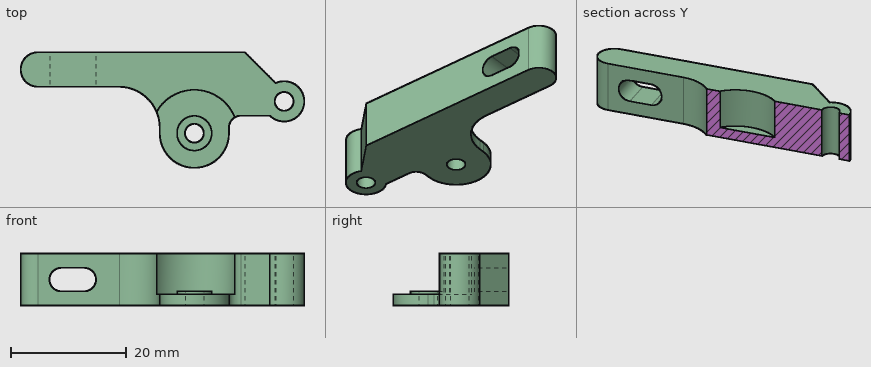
import cadquery as cq
import math

height = 9.0

pivot_radius = 6.0
bore_diameter = 3.2
flange_thickness = 2.0
recess_radius = 7.5
boss_diameter = 6.0
boss_height = 0.5

arm_width = 6.0
arm_end_x = -30.0
back_y = 14.0
arm_front_y = back_y - arm_width
arm_end_radius = arm_width / 2
arm_fillet_radius = 7.0

eye_x = 15.5
eye_y = 5.5
eye_radius = 3.5
neck_front_y = 3.0
neck_fillet_radius = 2.0
back_corner_x = 8.7

slot_length = 8.0
slot_height = 4.0
slot_center_x = -21.0


def point_on_circle(center_x, center_y, radius, angle):
    """Point on a circle at the given angle in degrees."""
    return (
        center_x + radius * math.cos(math.radians(angle)),
        center_y + radius * math.sin(math.radians(angle)),
    )


def lever_body():
    arm_fillet_x = -pivot_radius - arm_fillet_radius
    arm_fillet_y = arm_front_y - arm_fillet_radius
    neck_fillet_x = pivot_radius + neck_fillet_radius
    neck_fillet_y = neck_front_y - neck_fillet_radius
    slope_end_x = back_corner_x + back_y - eye_y

    body = (
        cq.Workplane("XY")
        .moveTo(arm_end_x + arm_end_radius, back_y)
        .threePointArc(
            (arm_end_x, back_y - arm_end_radius),
            (arm_end_x + arm_end_radius, arm_front_y),
        )
        .lineTo(arm_fillet_x, arm_front_y)
        .threePointArc(
            point_on_circle(arm_fillet_x, arm_fillet_y, arm_fillet_radius, 45),
            (-pivot_radius, arm_fillet_y),
        )
        .lineTo(-pivot_radius, 0)
        .threePointArc((0, -pivot_radius), (pivot_radius, 0))
        .lineTo(pivot_radius, neck_fillet_y)
        .threePointArc(
            point_on_circle(neck_fillet_x, neck_fillet_y, neck_fillet_radius, 135),
            (neck_fillet_x, neck_front_y),
        )
        .lineTo(eye_x, neck_front_y)
        .lineTo(eye_x, eye_y)
        .lineTo(slope_end_x, eye_y)
        .lineTo(back_corner_x, back_y)
        .close()
        .extrude(height)
    )
    eye = cq.Workplane("XY").center(eye_x, eye_y).circle(eye_radius).extrude(height)
    return body.union(eye)


def pivot_recess():
    return (
        cq.Workplane("XY", origin=(0, 0, flange_thickness))
        .circle(recess_radius)
        .extrude(height - flange_thickness)
    )


def pivot_boss():
    return cq.Workplane("XY").circle(boss_diameter / 2).extrude(flange_thickness + boss_height)


def bores():
    return (
        cq.Workplane("XY")
        .pushPoints([(0, 0), (eye_x, eye_y)])
        .circle(bore_diameter / 2)
        .extrude(height)
    )


def arm_slot():
    return (
        cq.Workplane("XZ", origin=(slot_center_x, back_y, height / 2))
        .slot2D(slot_length, slot_height)
        .extrude(arm_width)
    )


result = (
    lever_body()
    .cut(pivot_recess())
    .union(pivot_boss())
    .cut(bores())
    .cut(arm_slot())
)